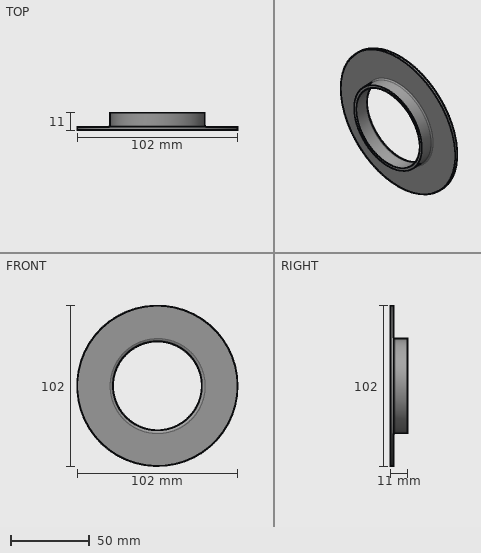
import cadquery as cq

flange_diameter = 102.0
total_depth = 11.0
wall = 2.0
bore_diameter = 56.3
bore_lip_radius = 2.0
collar_root_radius = 0.9

flange_radius = flange_diameter / 2
bore_radius = bore_diameter / 2
collar_radius = bore_radius + wall

diagonal = 0.5 ** 0.5
lip_center_radius = bore_radius + bore_lip_radius
lip_middle = (
    lip_center_radius - bore_lip_radius * diagonal,
    bore_lip_radius * (1 - diagonal),
)
root_middle = (
    collar_radius + collar_root_radius * (1 - diagonal),
    wall + collar_root_radius * (1 - diagonal),
)

section = (
    cq.Workplane("XY")
    .moveTo(lip_center_radius, 0)
    .lineTo(flange_radius, 0)
    .lineTo(flange_radius, wall)
    .lineTo(collar_radius + collar_root_radius, wall)
    .threePointArc(root_middle, (collar_radius, wall + collar_root_radius))
    .lineTo(collar_radius, total_depth)
    .lineTo(bore_radius, total_depth)
    .lineTo(bore_radius, bore_lip_radius)
    .threePointArc(lip_middle, (lip_center_radius, 0))
    .close()
)

result = section.revolve(360, (0, 0, 0), (0, 1, 0))